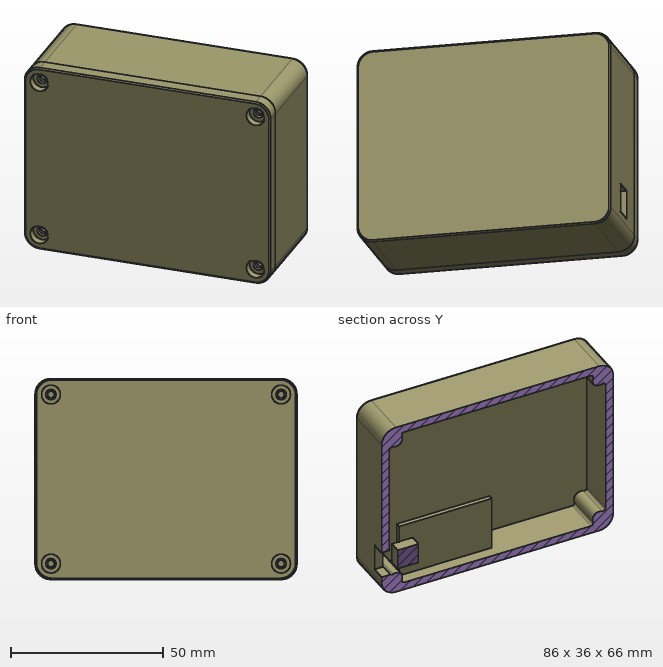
import cadquery as cq
import math

WIDTH = 86.0
DEPTH = 36.0
HEIGHT = 66.0
SIDE_WALL = 3.0
BACK_WALL = 5.0
LID_THICKNESS = 5.0
CORNER_RADIUS = 5.3
EDGE_CHAMFER = 0.5

FRONT = -DEPTH / 2
BACK = DEPTH / 2
JOINT = FRONT + LID_THICKNESS
CAVITY_BACK = BACK - BACK_WALL
CAVITY_LEFT = -WIDTH / 2 + SIDE_WALL
CAVITY_FLOOR = -HEIGHT / 2 + SIDE_WALL

SCREW_INSET = 5.25
POST_DIAMETER = 5.2
POST_FILLET = 0.9
HOLE_DIAMETER = 2.2
PILOT_DEPTH = 10.3
COUNTERSINK_DIAMETER = 3.35
HEAD_DIAMETER = 6.2
HEAD_DEPTH = 3.0

SCREW_X = WIDTH / 2 - SCREW_INSET
SCREW_Z = HEIGHT / 2 - SCREW_INSET
CORNER_SIDES = [(-1, -1), (-1, 1), (1, -1), (1, 1)]
SCREW_POINTS = [(side_x * SCREW_X, side_z * SCREW_Z) for side_x, side_z in CORNER_SIDES]

BOARD_FRONT = 4.0
BOARD_THICKNESS = 1.6
BOARD_LEFT = -34.3
BOARD_LENGTH = 34.4
CONNECTOR_LEFT = -37.1
CONNECTOR_LENGTH = 7.7
CONNECTOR_DEPTH = 5.8
CONNECTOR_HEIGHT = 7.6
CONNECTOR_Z = -20.1

WINDOW_WIDTH = 7.8
WINDOW_HEIGHT = 9.6
WINDOW_Y = 1.0
WINDOW_Z = -20.4


def block(x_range, y_range, z_range):
    """Box between two limits along each axis."""
    lows, highs = zip(x_range, y_range, z_range)
    sizes = [high - low for low, high in zip(lows, highs)]
    return cq.Workplane("XY").box(*sizes, centered=False).translate(lows)


def xz_plane(y):
    """Workplane at the given Y; local x and y run along X and Z, and its normal is -Y."""
    return cq.Workplane("XZ", origin=(0, y, 0))


def rounded_slab(y_front, y_back):
    """Outer shape of the enclosure between two planes across Y."""
    slab = xz_plane(y_front).rect(WIDTH, HEIGHT).extrude(y_front - y_back)
    return slab.edges("|Y").fillet(CORNER_RADIUS)


def cylinders(points, diameter, y_front, y_back):
    """Cylinders along Y, one at each point."""
    return xz_plane(y_front).pushPoints(points).circle(diameter / 2).extrude(y_front - y_back)


def corner_post(side_x, side_z):
    """Screw post in one cavity corner, filled up to both walls and blended into them."""
    post_radius = POST_DIAMETER / 2
    wall_gap = SCREW_INSET - SIDE_WALL
    reach = post_radius + POST_FILLET
    across = wall_gap - POST_FILLET
    along = math.sqrt(reach**2 - across**2)
    touch_across = across * post_radius / reach
    touch_along = along * post_radius / reach

    def at(u, v):
        """Point offset from the post axis, u and v counted toward the cavity middle."""
        return (side_x * (SCREW_X - u), side_z * (SCREW_Z - v))

    post_angle = 2 * math.pi - math.atan2(along, across)
    middle_angle = (math.pi + post_angle) / 2
    middle_u = -across + POST_FILLET * math.cos(middle_angle)
    middle_v = along + POST_FILLET * math.sin(middle_angle)
    diagonal = post_radius * math.sqrt(0.5)
    outline = (
        xz_plane(JOINT)
        .moveTo(*at(-wall_gap, -wall_gap))
        .lineTo(*at(-wall_gap, along))
        .threePointArc(at(middle_u, middle_v), at(-touch_across, touch_along))
        .threePointArc(at(diagonal, diagonal), at(touch_along, -touch_across))
        .threePointArc(at(middle_v, middle_u), at(along, -wall_gap))
        .close()
    )
    return outline.extrude(JOINT - CAVITY_BACK)


def make_housing():
    body = rounded_slab(JOINT, BACK).faces(">Y").chamfer(EDGE_CHAMFER)
    cavity = block(
        (CAVITY_LEFT, -CAVITY_LEFT), (JOINT, CAVITY_BACK), (CAVITY_FLOOR, -CAVITY_FLOOR)
    )
    for side_x, side_z in CORNER_SIDES:
        cavity = cavity.cut(corner_post(side_x, side_z))
    body = body.cut(cavity)
    body = body.cut(cylinders(SCREW_POINTS, HOLE_DIAMETER, JOINT, JOINT + PILOT_DEPTH))
    window = block(
        (-WIDTH / 2, CAVITY_LEFT + POST_FILLET),
        (WINDOW_Y - WINDOW_WIDTH / 2, WINDOW_Y + WINDOW_WIDTH / 2),
        (WINDOW_Z - WINDOW_HEIGHT / 2, WINDOW_Z + WINDOW_HEIGHT / 2),
    )
    return body.cut(window)


def make_lid():
    body = rounded_slab(FRONT, JOINT).faces("<Y").chamfer(EDGE_CHAMFER)
    seat = FRONT + HEAD_DEPTH
    body = body.cut(cylinders(SCREW_POINTS, HEAD_DIAMETER, FRONT, seat))
    body = body.cut(cylinders(SCREW_POINTS, HOLE_DIAMETER, seat, JOINT))
    countersink_depth = (COUNTERSINK_DIAMETER - HOLE_DIAMETER) / 2
    for x, z in SCREW_POINTS:
        cone = cq.Solid.makeCone(
            COUNTERSINK_DIAMETER / 2,
            HOLE_DIAMETER / 2,
            countersink_depth,
            cq.Vector(x, seat, z),
            cq.Vector(0, 1, 0),
        )
        body = body.cut(cq.Workplane(cone))
    return body


def make_circuit_board():
    half_height = CONNECTOR_Z - CAVITY_FLOOR
    board = block(
        (BOARD_LEFT, BOARD_LEFT + BOARD_LENGTH),
        (BOARD_FRONT, BOARD_FRONT + BOARD_THICKNESS),
        (CAVITY_FLOOR, CONNECTOR_Z + half_height),
    )
    connector = block(
        (CONNECTOR_LEFT, CONNECTOR_LEFT + CONNECTOR_LENGTH),
        (BOARD_FRONT - CONNECTOR_DEPTH, BOARD_FRONT),
        (CONNECTOR_Z - CONNECTOR_HEIGHT / 2, CONNECTOR_Z + CONNECTOR_HEIGHT / 2),
    )
    return board.union(connector)


housing = make_housing()
lid = make_lid()
circuit_board = make_circuit_board()

result = cq.Compound.makeCompound([housing.val(), lid.val(), circuit_board.val()])